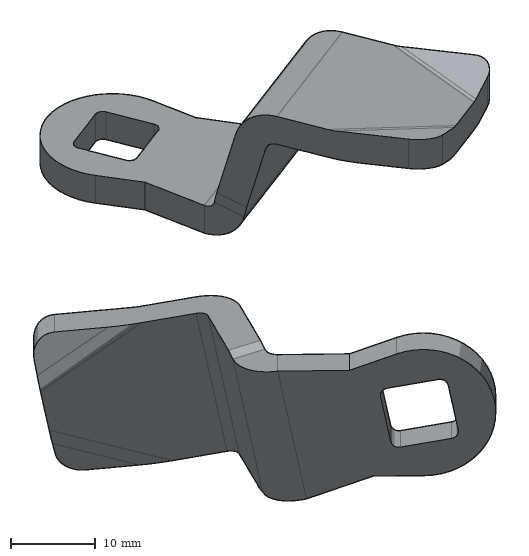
import cadquery as cq
import math

length = 54.0
width = 19.0
half_width = width / 2
thickness = 4.0
inner_radius = 1.5
outer_radius = inner_radius + thickness
bend_angle = 75.0
tab_top = 20.0

eye_radius = 8.55
hole_x = 9.0
hole_size = 8.1
hole_corner_radius = 0.95
waist_x = 16.0
waist_half_width = 7.3
lower_bend_x = 24.3
bend_start_half_width = 8.8

bend_end_half_width = 9.2
leg_taper_length = 1.8

tab_corner_radius = 3.0
fold_start_x = 40.5
fold_direction = 27.0
fold_angle = 19.3

sin_bend = math.sin(math.radians(bend_angle))
cos_bend = math.cos(math.radians(bend_angle))

leg_foot_x = lower_bend_x + inner_radius * sin_bend
leg_foot_z = thickness + inner_radius * (1 - cos_bend)
leg_head_z = tab_top - outer_radius * (1 - cos_bend)
leg_length = (leg_head_z - leg_foot_z) / sin_bend
leg_head_x = leg_foot_x + leg_length * cos_bend
upper_bend_x = leg_head_x + outer_radius * sin_bend


def make_plate():
    """Round eye joined to a waisted plate, with a square hole."""
    waist_distance = math.hypot(waist_x - eye_radius, waist_half_width)
    waist_angle = math.atan2(waist_half_width, waist_x - eye_radius)
    tangent_angle = waist_angle + math.acos(eye_radius / waist_distance)
    tangent_x = eye_radius + eye_radius * math.cos(tangent_angle)
    tangent_y = eye_radius * math.sin(tangent_angle)
    plate = (
        cq.Workplane("XY")
        .moveTo(tangent_x, tangent_y)
        .lineTo(waist_x, waist_half_width)
        .lineTo(lower_bend_x, bend_start_half_width)
        .lineTo(lower_bend_x, -bend_start_half_width)
        .lineTo(waist_x, -waist_half_width)
        .lineTo(tangent_x, -tangent_y)
        .threePointArc((0, 0), (tangent_x, tangent_y))
        .close()
        .extrude(thickness)
    )
    hole = (
        cq.Workplane("XY")
        .center(hole_x, 0)
        .rect(hole_size, hole_size)
        .extrude(thickness)
        .edges("|Z")
        .fillet(hole_corner_radius)
    )
    return plate.cut(hole)


def bend_sector(center_x, center_z, start_angle, sweep, inner, outer, y_start):
    """Ring sector around the Y direction; angles run from +X towards +Z."""
    def ring_point(radius, fraction):
        angle = math.radians(start_angle + fraction * sweep)
        return radius * math.cos(angle), radius * math.sin(angle)

    return (
        cq.Workplane("XZ", origin=(center_x, y_start, center_z))
        .moveTo(*ring_point(inner, 0))
        .lineTo(*ring_point(outer, 0))
        .threePointArc(ring_point(outer, 0.5), ring_point(outer, 1))
        .lineTo(*ring_point(inner, 1))
        .threePointArc(ring_point(inner, 0.5), ring_point(inner, 0))
        .close()
    )


def make_lower_bend():
    """Bend whose width grows evenly with the bend angle."""
    center_z = thickness + inner_radius
    bend = bend_sector(
        lower_bend_x, center_z, -90, bend_angle, inner_radius, outer_radius, bend_end_half_width
    ).extrude(2 * bend_end_half_width)

    radial_margin = 0.55
    side_cut = bend_sector(
        lower_bend_x, center_z, -90, bend_angle,
        inner_radius - radial_margin, outer_radius + radial_margin, bend_end_half_width,
    ).twistExtrude(bend_end_half_width - bend_start_half_width, -bend_angle)
    return bend.cut(side_cut).cut(side_cut.mirror("XZ"))


def make_leg():
    """Sloping leg, tapered at its foot."""
    leg_plane = cq.Plane(
        origin=(leg_foot_x, 0, leg_foot_z),
        xDir=(cos_bend, 0, sin_bend),
        normal=(-sin_bend, 0, cos_bend),
    )
    return (
        cq.Workplane(leg_plane)
        .moveTo(0, -bend_end_half_width)
        .lineTo(leg_taper_length, -half_width)
        .lineTo(leg_length, -half_width)
        .lineTo(leg_length, half_width)
        .lineTo(leg_taper_length, half_width)
        .lineTo(0, bend_end_half_width)
        .close()
        .extrude(-thickness)
    )


def make_upper_bend():
    return bend_sector(
        upper_bend_x, tab_top - outer_radius, 90, bend_angle, inner_radius, outer_radius, half_width
    ).extrude(width)


def make_half_tab():
    """The +Y half of the tab, with its corner folded up along a slanting line."""
    tab_length = length - upper_bend_x
    outline = (
        cq.Workplane("XY")
        .rect(tab_length, half_width)
        .extrude(2 * tab_top)
        .edges("|Z and >X and >Y")
        .fillet(tab_corner_radius)
        .translate((upper_bend_x + tab_length / 2, half_width / 2, 0))
    )

    direction = math.radians(fold_direction)
    fold_plane = cq.Plane(
        origin=(fold_start_x, half_width, tab_top),
        xDir=(math.sin(direction), math.cos(direction), 0),
        normal=(math.cos(direction), -math.sin(direction), 0),
    )
    reach = length

    def arc_point(radius, angle):
        return radius * math.sin(angle), inner_radius - radius * math.cos(angle)

    fold = math.radians(fold_angle)
    top_end = arc_point(inner_radius, fold)
    bottom_end = arc_point(outer_radius, fold)
    wing_x = reach * math.cos(fold)
    wing_z = reach * math.sin(fold)
    folded_sheet = (
        cq.Workplane(fold_plane)
        .moveTo(-reach, 0)
        .lineTo(0, 0)
        .threePointArc(arc_point(inner_radius, fold / 2), top_end)
        .lineTo(top_end[0] + wing_x, top_end[1] + wing_z)
        .lineTo(bottom_end[0] + wing_x, bottom_end[1] + wing_z)
        .lineTo(*bottom_end)
        .threePointArc(arc_point(outer_radius, fold / 2), (0, -thickness))
        .lineTo(-reach, -thickness)
        .close()
        .extrude(reach, both=True)
    )
    return outline.intersect(folded_sheet)


half_tab = make_half_tab()
result = (
    make_plate()
    .union(make_lower_bend())
    .union(make_leg())
    .union(make_upper_bend())
    .union(half_tab.union(half_tab.mirror("XZ")).clean())
)